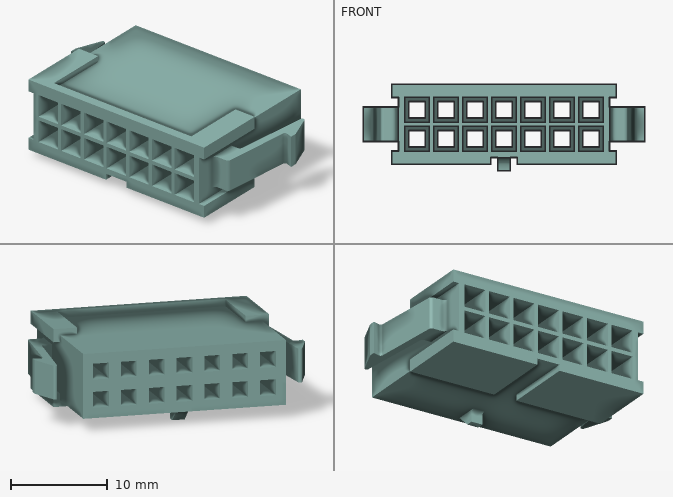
import cadquery as cq

overall_width = 29.08
body_width = 21.8
body_depth = 16.9
body_height = 6.9

collar_width = 23.2
collar_depth = 8.38
collar_height = 8.3
plate_thickness = 1.4
front_bar_depth = 1.05
collar_leg_width = 2.53
latch_notch_width = 2.7

columns = 7
rows = 2
pitch = 3.0
pocket_size = 2.55
pocket_depth = collar_depth
contact_hole_size = 1.7

latch_width = 1.35
latch_drop = 1.37
latch_ramp_start = 16.2
latch_ramp_end = 14.69
latch_face = 13.87
latch_root_radius = 0.4

arm_height = 3.58
arm_embed = 0.3
arm_foot_front = 2.62
arm_foot_back = 5.4
arm_outer_x = 12.7
arm_inner_x = 12.05
arm_root_x = 13.5
arm_root_y = 11.08
barb_front = 10.73
barb_back = 11.5
tip_x = 13.05
tip_y = 15.25
tip_radius = 0.227
barb_root_radius = 0.25
arm_heel_radius = 0.35
arm_bend_radius = 0.35
foot_root_radius = 0.45


def block(width, depth, height, front=0.0, mid_z=0.0):
    """Box centred on X, starting at Y = front and centred on mid_z."""
    box = cq.Workplane("XY").box(width, depth, height, centered=(True, False, True))
    return box.translate((0, front, mid_z))


def make_collar_plates():
    plate_mid_z = (collar_height - plate_thickness) / 2
    top = block(collar_width, collar_depth, plate_thickness, mid_z=plate_mid_z)
    bottom = block(collar_width, collar_depth, plate_thickness, mid_z=-plate_mid_z)

    step = (collar_height - body_height) / 2
    step_mid_z = (collar_height - step) / 2
    recess_width = collar_width - 2 * collar_leg_width
    recess_depth = collar_depth - front_bar_depth
    recess = block(recess_width, recess_depth, step, front_bar_depth, step_mid_z)
    notch = block(latch_notch_width, collar_depth, step, mid_z=-step_mid_z)
    return top.cut(recess).union(bottom.cut(notch))


def make_cavities():
    """Square pockets open at the front, each with a smaller hole through the back."""
    def square_grid(size, depth):
        grid = cq.Workplane("XZ").rarray(pitch, pitch, columns, rows)
        return grid.rect(size, size).extrude(-depth)

    pockets = square_grid(pocket_size, pocket_depth)
    return pockets.union(square_grid(contact_hole_size, body_depth))


def make_latch():
    body_bottom = -body_height / 2
    tip_z = body_bottom - latch_drop
    root_front = latch_face - latch_root_radius
    profile = (
        cq.Workplane("YZ")
        .moveTo(latch_ramp_start, body_bottom)
        .lineTo(latch_ramp_end, tip_z)
        .lineTo(latch_face, tip_z)
        .lineTo(latch_face, body_bottom - latch_root_radius)
        .tangentArcPoint((root_front, body_bottom), relative=False)
        .close()
    )
    return profile.extrude(latch_width / 2, both=True)


def make_arm():
    """Snap arm on the +X side: a foot on the wall, a leaning arm and a barbed tip."""
    wall_x = body_width / 2
    barb_x = overall_width / 2
    inside_x = wall_x - arm_embed

    heel = (arm_outer_x, arm_foot_front)
    barb_root = (arm_root_x, arm_root_y)
    tip = (tip_x, tip_y)
    bend = (arm_inner_x, arm_foot_back)
    foot_root = (wall_x, arm_foot_front)

    wall_end = arm_foot_front - 2 * foot_root_radius
    outline = [
        foot_root, heel, barb_root, (barb_x, barb_front), (barb_x, barb_back),
        tip, bend, (inside_x, arm_foot_back), (inside_x, wall_end), (wall_x, wall_end),
    ]
    arm = cq.Workplane("XY").polyline(outline).close().extrude(arm_height / 2, both=True)

    rounded_corners = [
        (foot_root, foot_root_radius),
        (heel, arm_heel_radius),
        (barb_root, barb_root_radius),
        (tip, tip_radius),
        (bend, arm_bend_radius),
    ]
    for (x, y), radius in rounded_corners:
        corner = cq.selectors.NearestToPointSelector((x, y, 0))
        arm = arm.edges("|Z").edges(corner).fillet(radius)
    return arm


right_arm = make_arm()
left_arm = right_arm.mirror("YZ")

housing = block(body_width, body_depth, body_height).union(make_collar_plates())
housing = housing.union(make_latch()).union(right_arm).union(left_arm)
result = housing.cut(make_cavities())